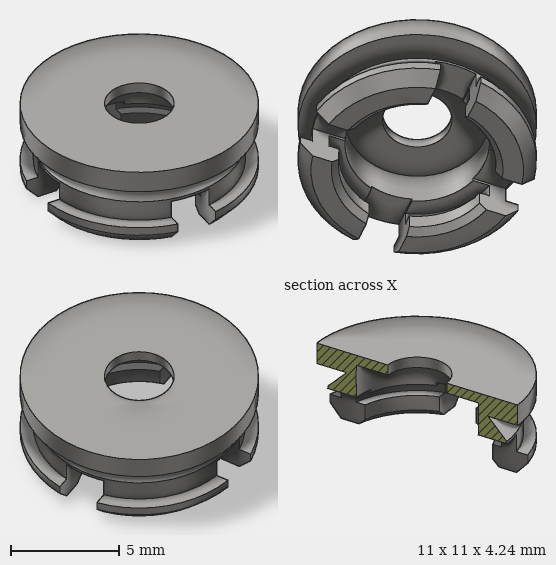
import cadquery as cq

total_height = 4.24

flange_diameter = 11.0
flange_thickness = 1.1
hole_diameter = 3.2
hole_depth = 0.55

neck_diameter = 7.8

leg_diameter = 9.8
barb_diameter = flange_diameter
barb_height = 1.1
barb_bevel_height = 0.67
slot_width = 2.0
slot_height = 2.0

cavity_diameter = 6.66
groove_diameter = 8.2
groove_height = 0.75
mouth_diameter = 7.26
mouth_bevel = 0.33

flange_bottom = total_height - flange_thickness
cavity_top = total_height - hole_depth
cone_height = (leg_diameter - neck_diameter) / 2
cone_bottom = flange_bottom - cone_height
groove_top = barb_height + groove_height


def make_section():
    """Half section of the ring in (radius, height), before the slots are cut."""
    flange_radius = flange_diameter / 2
    hole_radius = hole_diameter / 2
    neck_radius = neck_diameter / 2
    leg_radius = leg_diameter / 2
    barb_radius = barb_diameter / 2
    cavity_radius = cavity_diameter / 2
    groove_radius = groove_diameter / 2
    mouth_radius = mouth_diameter / 2

    outer_points = [
        (hole_radius, total_height),
        (flange_radius, total_height),
        (flange_radius, flange_bottom),
        (neck_radius, flange_bottom),
        (leg_radius, cone_bottom),
        (leg_radius, barb_height),
        (barb_radius, barb_height),
        (barb_radius, barb_bevel_height),
        (leg_radius, 0),
    ]
    inner_points = [
        (mouth_radius + mouth_bevel, 0),
        (mouth_radius, mouth_bevel),
        (mouth_radius, barb_height),
        (groove_radius, barb_height),
        (groove_radius, groove_top),
        (cavity_radius, groove_top),
        (cavity_radius, cavity_top),
        (hole_radius, cavity_top),
    ]
    return cq.Workplane("XZ").polyline(outer_points + inner_points).close()


def make_slot(length_x, length_y):
    """Slot cutter reaching from the bottom up to just below the cone."""
    return cq.Workplane("XY").rect(length_x, length_y).extrude(slot_height)


ring = make_section().revolve(360, (0, 0, 0), (0, 1, 0))
slot_along_x = make_slot(flange_diameter, slot_width)
slot_along_y = make_slot(slot_width, flange_diameter)
result = ring.cut(slot_along_x).cut(slot_along_y)